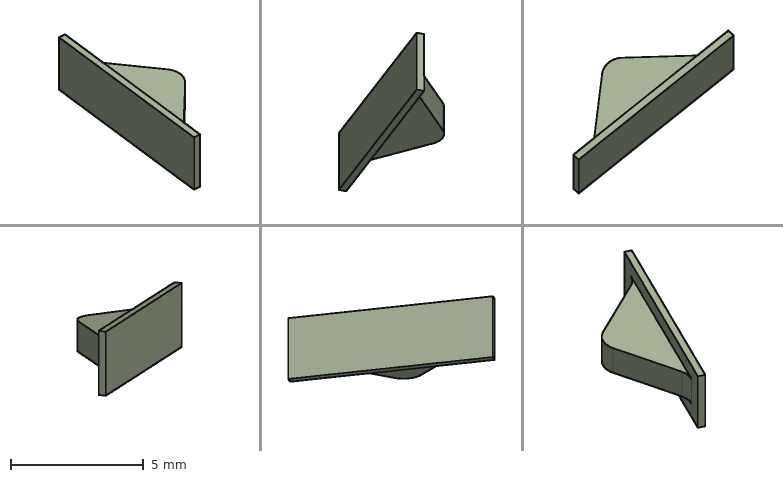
import cadquery as cq
import math

plate_length = 8.0
plate_height = 2.5
plate_thickness = 0.3

total_depth = 2.63
rib_thickness = 1.2
crest_radius = 0.8
foot_radius = 0.8
flank_angle = math.radians(41.0)

sine = math.sin(flank_angle)
cosine = math.cos(flank_angle)

crest_x = crest_radius * sine
crest_y = total_depth - crest_radius * (1 - cosine)

foot_y = plate_thickness + foot_radius * (1 - cosine)
foot_x = crest_x + (crest_y - foot_y) / math.tan(flank_angle)
toe_x = foot_x + foot_radius * sine

half_angle = flank_angle / 2
foot_mid_x = toe_x - foot_radius * math.sin(half_angle)
foot_mid_y = plate_thickness + foot_radius * (1 - math.cos(half_angle))

plate = cq.Workplane("XY").box(
    plate_length, plate_thickness, plate_height, centered=(True, False, True)
)

rib = (
    cq.Workplane("XY")
    .moveTo(-toe_x, 0)
    .lineTo(-toe_x, plate_thickness)
    .threePointArc((-foot_mid_x, foot_mid_y), (-foot_x, foot_y))
    .lineTo(-crest_x, crest_y)
    .threePointArc((0, total_depth), (crest_x, crest_y))
    .lineTo(foot_x, foot_y)
    .threePointArc((foot_mid_x, foot_mid_y), (toe_x, plate_thickness))
    .lineTo(toe_x, 0)
    .close()
    .extrude(rib_thickness / 2, both=True)
)

result = plate.union(rib)